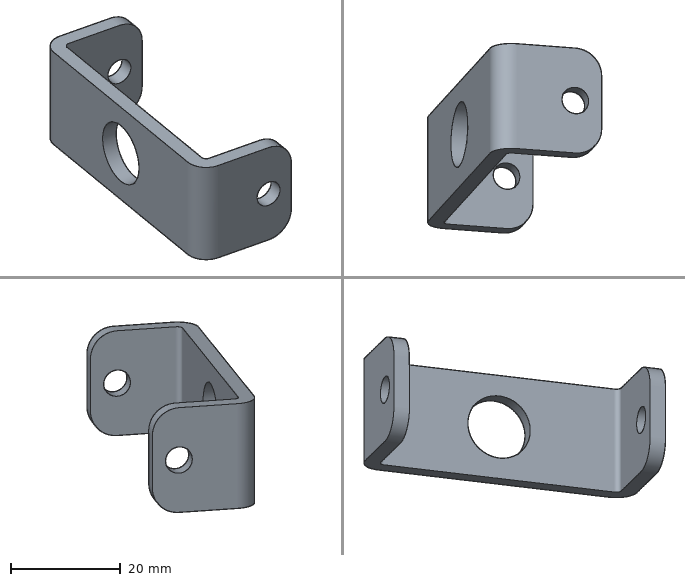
import cadquery as cq

length = 52.5
depth = 20.0
height = 20.0

thickness = 3.0
inner_bend_radius = 1.0
outer_bend_radius = inner_bend_radius + thickness

web_hole_diameter = 12.0
flange_hole_diameter = 5.0
flange_corner_radius = 5.0
flange_hole_edge_distance = flange_corner_radius

web_face_y = -depth / 2
flange_end_y = depth / 2


def bent_channel():
    """U-shaped strip: a web along X with a flange bent toward +Y at each end."""
    outer = (
        cq.Workplane("XY")
        .box(length, depth, height)
        .edges("|Z and <Y")
        .fillet(outer_bend_radius)
    )
    inner = (
        cq.Workplane("XY")
        .box(length - 2 * thickness, depth, height)
        .edges("|Z and <Y")
        .fillet(inner_bend_radius)
        .translate((0, thickness, 0))
    )
    return outer.cut(inner)


def web_hole():
    """Round opening through the middle of the web."""
    return (
        cq.Workplane("XZ", origin=(0, web_face_y + thickness, 0))
        .circle(web_hole_diameter / 2)
        .extrude(thickness)
    )


def flange_holes():
    """One bore along X that pierces both flanges."""
    hole_y = flange_end_y - flange_hole_edge_distance
    return (
        cq.Workplane("YZ")
        .center(hole_y, 0)
        .circle(flange_hole_diameter / 2)
        .extrude(length / 2, both=True)
    )


channel = bent_channel()
rounded_channel = channel.edges("|X and >Y").fillet(flange_corner_radius)
result = rounded_channel.cut(web_hole()).cut(flange_holes())